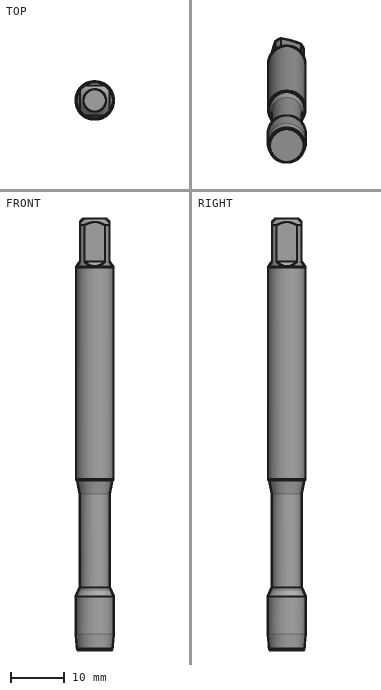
import cadquery as cq

total_length = 80.1

head_diameter = 7.1
lead_end_diameter = 6.65
tip_diameter = 6.25
tip_chamfer_height = 0.4
lead_height = 3.05
back_taper_start = 10.0
collar_diameter = 6.1
collar_start = 11.2
head_height = 11.7

neck_diameter = 5.6
neck_end = 29.0
shank_diameter = 7.0
shank_start = 31.8
relief_diameter = 6.6
relief_chamfer_height = 0.3
shank_end = 71.0
shoulder_height = 0.25

square_width = 5.5
corner_diameter = 6.7
top_diameter = 4.2
top_chamfer_height = (corner_diameter - top_diameter) / 2
flat_start = 72.1
runout_drop = 1.05


def revolve_profile(stations):
    """Solid of revolution about Z through (diameter, height) stations, bottom to top."""
    outline = [(diameter / 2, height) for diameter, height in stations]
    bottom_centre = (0, stations[0][1])
    top_centre = (0, stations[-1][1])
    return (
        cq.Workplane("XZ")
        .polyline([bottom_centre, *outline, top_centre])
        .close()
        .revolve(360, (0, 0, 0), (0, 1, 0))
    )


def make_thread_head():
    """Threading portion: chamfered tip, tapered lead, full diameter and back taper."""
    return revolve_profile([
        (tip_diameter, 0),
        (lead_end_diameter, tip_chamfer_height),
        (head_diameter, lead_height),
        (head_diameter, back_taper_start),
        (collar_diameter, collar_start),
        (neck_diameter, head_height),
    ])


def make_flat_cutter():
    """Material outside one flat on the -Y side, with a sloping runout at its lower end."""
    flat_y = -square_width / 2
    outer_y = -shank_diameter / 2
    return (
        cq.Workplane("YZ")
        .polyline([
            (flat_y, flat_start),
            (flat_y, total_length),
            (outer_y, total_length),
            (outer_y, flat_start - runout_drop),
        ])
        .close()
        .extrude(shank_diameter / 2, both=True)
    )


def make_shank():
    """Neck, shank and driving square in one piece, seated on the thread head."""
    shank = revolve_profile([
        (neck_diameter, head_height),
        (neck_diameter, neck_end),
        (relief_diameter, shank_start - relief_chamfer_height),
        (shank_diameter, shank_start),
        (shank_diameter, shank_end),
        (corner_diameter, shank_end + shoulder_height),
        (corner_diameter, total_length - top_chamfer_height),
        (top_diameter, total_length),
    ])
    flat_cutter = make_flat_cutter()
    for angle in (0, 90, 180, 270):
        shank = shank.cut(flat_cutter.rotate((0, 0, 0), (0, 0, 1), angle))
    return shank


thread_head = make_thread_head()
shank = make_shank()

result = cq.Compound.makeCompound([thread_head.val(), shank.val()])